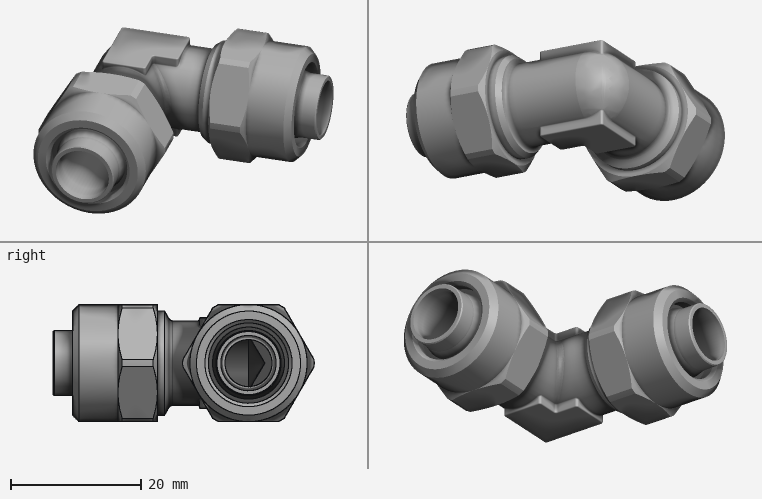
import cadquery as cq


EDGE_MARGIN = 0.05

OVERALL_LENGTH = 40.1

BODY_RADIUS = 6.5
BEND_RADIUS = 6.1
INNER_CORNER_FILLET = 0.8

COLLAR_RADIUS = 8.0
COLLAR_ROOT_FILLET = 0.7
STEP_START = 11.95
STEP_RADIUS = 7.4
STEP_CHAMFER_LENGTH = 0.85
CONE_START = 12.05
CONE_END = 12.9

HEX_START = 14.0
HEX_END = 20.05
HEX_FLATS = 18.0
HEX_TURN = 30
HEX_CORNER_RADIUS = 10.1
HEX_CHAMFER_LENGTH = 0.65
TAIL_RADIUS = HEX_FLATS / 2
TAIL_END = 27.03
TAIL_CHAMFER = 1.0
MOUTH_RADIUS = 6.7
MOUTH_CHAMFER = 0.52
MOUTH_DEPTH = 2.0
MOUTH_FLOOR = TAIL_END - MOUTH_DEPTH

TUBE_END = OVERALL_LENGTH - HEX_CORNER_RADIUS
TUBE_RADIUS = 5.0
TUBE_ROOT_RADIUS = 5.55
TUBE_EDGE_CHAMFER = 0.15

TUBE_BORE_RADIUS = 4.25
BODY_BORE_RADIUS = 3.6
DRILL_TIP_DEPTH = 2.53

PAD_HEIGHT = 6.98
PAD_BACK = 3.5
PAD_FRONT = 7.55
PAD_CORNER_FILLET = 0.4
PAD_EDGE_FILLET = 0.2
PAD_ROOT_FILLET = 0.2
PAD_ROOT_LOW = 3.2
PAD_ROOT_HIGH = BODY_RADIUS + EDGE_MARGIN


def turn_to_second_leg(shape):
    """Carry a shape from the +X leg to the -Y leg."""
    return shape.rotate((0, 0, 0), (0, 0, 1), -90)


def revolve_about_x(profile):
    """Close a half profile along the X axis and turn it into a solid."""
    return profile.close().revolve(360, (0, 0, 0), (1, 0, 0))


def make_leg(collar_points):
    """Solid body leg along +X; its collar grows from the body at the first collar point."""
    leg_start = BEND_RADIUS - BODY_RADIUS
    collar_start = collar_points[0][0]
    profile = cq.Workplane("XY").moveTo(leg_start, 0).lineTo(leg_start, BODY_RADIUS)
    for distance, radius in collar_points:
        profile = profile.lineTo(distance, radius)
    leg = revolve_about_x(profile.lineTo(HEX_START, COLLAR_RADIUS).lineTo(HEX_START, 0))
    collar_root = cq.selectors.BoxSelector(
        (collar_start - EDGE_MARGIN, -BODY_RADIUS - EDGE_MARGIN, -BODY_RADIUS - EDGE_MARGIN),
        (collar_start + EDGE_MARGIN, BODY_RADIUS + EDGE_MARGIN, BODY_RADIUS + EDGE_MARGIN),
        boundingbox=True,
    )
    return leg.edges(collar_root).fillet(COLLAR_ROOT_FILLET)


def make_stepped_leg():
    return make_leg(
        [
            (STEP_START, BODY_RADIUS),
            (STEP_START, STEP_RADIUS),
            (STEP_START + STEP_CHAMFER_LENGTH, COLLAR_RADIUS),
        ]
    )


def make_coned_leg():
    return make_leg([(CONE_START, BODY_RADIUS), (CONE_END, COLLAR_RADIUS)])


def make_outer_bend():
    """Rounded outer corner, tangent to both legs."""
    offset = BODY_RADIUS - BEND_RADIUS
    half_height = (BODY_RADIUS**2 - offset**2) ** 0.5
    return (
        cq.Workplane("YZ", origin=(-offset, offset, 0))
        .moveTo(0, -half_height)
        .threePointArc((BEND_RADIUS, 0), (0, half_height))
        .close()
        .revolve(90, (0, 0, 0), (0, 1, 0))
    )


def make_pads():
    """Wrench pads on both sides, as one L-shaped block through the body."""
    return (
        cq.Workplane("XY", origin=(0, 0, -PAD_HEIGHT))
        .moveTo(-PAD_BACK, PAD_BACK)
        .lineTo(PAD_FRONT, PAD_BACK)
        .lineTo(PAD_FRONT, -PAD_BACK)
        .lineTo(PAD_BACK, -PAD_BACK)
        .lineTo(PAD_BACK, -PAD_FRONT)
        .lineTo(-PAD_BACK, -PAD_FRONT)
        .close()
        .extrude(2 * PAD_HEIGHT)
        .edges("|Z")
        .fillet(PAD_CORNER_FILLET)
        .faces("|Z")
        .edges()
        .fillet(PAD_EDGE_FILLET)
    )


def make_body():
    """Solid elbow with pads, a filleted inner corner and filleted pad roots."""
    body = (
        make_stepped_leg()
        .union(turn_to_second_leg(make_coned_leg()))
        .union(make_outer_bend())
        .union(make_pads())
    )
    inner_corner = cq.selectors.BoxSelector(
        (PAD_BACK, -PAD_BACK, -BODY_RADIUS),
        (BODY_RADIUS, -BODY_RADIUS, BODY_RADIUS),
    )
    body = body.edges(inner_corner).edges("%ELLIPSE").fillet(INNER_CORNER_FILLET)
    for lower, upper in ((PAD_ROOT_LOW, PAD_ROOT_HIGH), (-PAD_ROOT_HIGH, -PAD_ROOT_LOW)):
        pad_root = cq.selectors.BoxSelector(
            (-PAD_BACK - EDGE_MARGIN, -PAD_FRONT - EDGE_MARGIN, lower),
            (PAD_FRONT + EDGE_MARGIN, PAD_BACK + EDGE_MARGIN, upper),
            boundingbox=True,
        )
        body = body.edges(pad_root).fillet(PAD_ROOT_FILLET)
    return body


def make_nut():
    """Chamfered hexagon with flats facing +Z and -Z, and a round tail with an open mouth."""
    hexagon = (
        cq.Workplane("YZ", origin=(HEX_START, 0, 0))
        .transformed(rotate=(0, 0, HEX_TURN))
        .polygon(6, HEX_FLATS, circumscribed=True)
        .extrude(HEX_END - HEX_START)
    )
    envelope = revolve_about_x(
        cq.Workplane("XY")
        .moveTo(HEX_START, 0)
        .lineTo(HEX_START, TAIL_RADIUS)
        .lineTo(HEX_START + HEX_CHAMFER_LENGTH, HEX_CORNER_RADIUS)
        .lineTo(HEX_END - HEX_CHAMFER_LENGTH, HEX_CORNER_RADIUS)
        .lineTo(HEX_END, TAIL_RADIUS)
        .lineTo(HEX_END, 0)
    )
    tail = revolve_about_x(
        cq.Workplane("XY")
        .moveTo(HEX_START, 0)
        .lineTo(HEX_START, TAIL_RADIUS)
        .lineTo(TAIL_END - TAIL_CHAMFER, TAIL_RADIUS)
        .lineTo(TAIL_END, TAIL_RADIUS - TAIL_CHAMFER)
        .lineTo(TAIL_END, MOUTH_RADIUS)
        .lineTo(TAIL_END - MOUTH_CHAMFER, MOUTH_RADIUS - MOUTH_CHAMFER)
        .lineTo(MOUTH_FLOOR, MOUTH_RADIUS - MOUTH_CHAMFER)
        .lineTo(MOUTH_FLOOR, 0)
    )
    return hexagon.intersect(envelope).union(tail)


def make_tube():
    """Tube with a conical root in the mouth of the nut and a chamfered end."""
    return revolve_about_x(
        cq.Workplane("XY")
        .moveTo(HEX_END, 0)
        .lineTo(HEX_END, TUBE_ROOT_RADIUS)
        .lineTo(MOUTH_FLOOR, TUBE_ROOT_RADIUS)
        .lineTo(TAIL_END, TUBE_RADIUS)
        .lineTo(TUBE_END - TUBE_EDGE_CHAMFER, TUBE_RADIUS)
        .lineTo(TUBE_END, TUBE_RADIUS - TUBE_EDGE_CHAMFER)
        .lineTo(TUBE_END, 0)
    )


def make_stepped_bore():
    """Bore of the +X leg: wide through the nut, narrow from the collar to the corner."""
    return revolve_about_x(
        cq.Workplane("XY")
        .lineTo(0, BODY_BORE_RADIUS)
        .lineTo(HEX_START, BODY_BORE_RADIUS)
        .lineTo(HEX_START, TUBE_BORE_RADIUS)
        .lineTo(TUBE_END, TUBE_BORE_RADIUS)
        .lineTo(TUBE_END, 0)
    )


def make_drilled_bore():
    """Wide bore with a conical drill tip that ends past the corner."""
    return revolve_about_x(
        cq.Workplane("XY")
        .moveTo(-DRILL_TIP_DEPTH, 0)
        .lineTo(0, TUBE_BORE_RADIUS)
        .lineTo(TUBE_END, TUBE_BORE_RADIUS)
        .lineTo(TUBE_END, 0)
    )


end_fitting = make_nut().union(make_tube())

result = (
    make_body()
    .union(end_fitting)
    .union(turn_to_second_leg(end_fitting))
    .cut(make_stepped_bore())
    .cut(turn_to_second_leg(make_drilled_bore()))
)